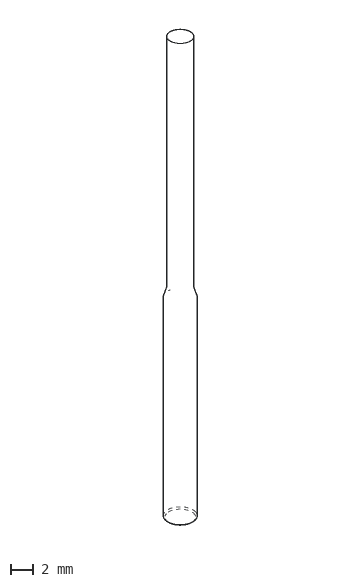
import cadquery as cq
import math

total_length = 50.0
shank_diameter = 3.0
neck_diameter = 2.38
shank_length = 22.55
taper_length = 1.0
tip_angle = 118.0
end_chamfer = 0.15

shank_radius = shank_diameter / 2
neck_radius = neck_diameter / 2
taper_top = shank_length + taper_length
tip_height = neck_radius / math.tan(math.radians(tip_angle / 2))
neck_top = total_length - tip_height


def turned_pin():
    """Revolve the half profile (radius, height) about the Z axis."""
    half_profile = (
        cq.Workplane("XZ")
        .moveTo(0, 0)
        .lineTo(shank_radius - end_chamfer, 0)
        .lineTo(shank_radius, end_chamfer)
        .lineTo(shank_radius, shank_length)
        .lineTo(neck_radius, taper_top)
        .lineTo(neck_radius, neck_top)
        .lineTo(0, total_length)
        .close()
    )
    return half_profile.revolve(360, (0, 0, 0), (0, 1, 0))


result = turned_pin()